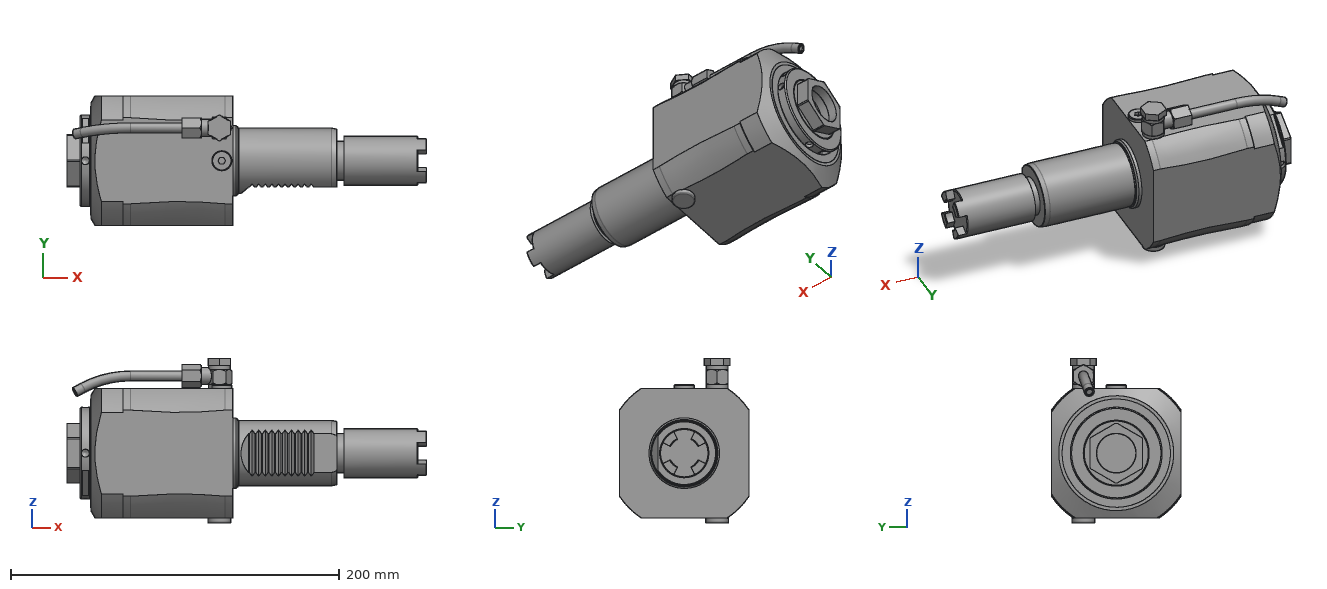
import cadquery as cq
import math


block_width = 79.0
half_block = block_width / 2
block_front_x = -86.5
face_radius = 35.0
face_lip_radius = 33.0
face_lip_height = 0.2
cone_half_angle = 61.0
corner_radius = 47.4
corner_relief = 0.75
front_relief_end_x = -66.8
barrel_start_x = -62.2
barrel_end_x = -4.7

ring_radius = 28.0
ring_front_x = -93.1
ring_chamfer = 0.8
ring_rear_chamfer = 0.5
ring_hole_count = 4
ring_hole_diameter = 4.8
ring_hole_depth = 2.5
drill_point_angle = 118.0
ring_hole_x = -89.8
ring_pocket_width = 3.6
ring_pocket_angles = (-45, 135)
ring_pocket_half_angle = 22.5
ring_pocket_flat = ring_radius * math.cos(math.radians(ring_pocket_half_angle))

flange_radius = 21.5
flange_length = 3.0
flange_chamfer = 1.0
undercut_length = 0.9
undercut_depth = 0.3
shank_radius = 20.0
shank_end_x = 63.3
shank_taper_length = 3.3
shank_taper_drop = 0.6
shank_edge_chamfer = 0.3
flat_offset = 16.1
flat_ramp_start_x = 5.0
flat_ramp_end_x = 9.6
tooth_pitch = 4.0
tooth_count = 10
first_groove_x = 11.75
groove_half_width = 1.65
groove_depth = 1.8

fitting_x = -8.2
fitting_y = 20.0
bolt_top_z = 57.75
bolt_head_height = 4.5
bolt_head_flats = 13.8
bolt_neck_radius = 6.7
eye_bottom_z = 41.8
eye_top_z = 50.8
eye_corner_radius = 7.8
eye_chamfer = 0.9
pipe_z = 47.0
stub_radius = 5.2
nut_flats = 12.2
nut_rear_x = -19.2
nut_front_x = -31.1
nut_chamfer = 0.8

pipe_radius = 3.05
bend_start_x = -62.4
bend_radius = 58.0
bend_angle = 30.0
bend_tilt = 20.5
tip_length = 5.7
tip_chamfer = 0.4
tip_bore_radius = 2.0
tip_bore_depth = 1.0

top_plug_x = -6.7
top_plug_radius = 6.1
top_plug_height = 2.2
top_plug_chamfer = 0.5
socket_flats = 4.0
socket_depth = 2.0
bottom_plug_radius = 6.95
bottom_plug_height = 3.15
bottom_plug_fillet = 0.6

spindle_front_x = -101.05
spindle_length = 219.05
spindle_end_x = spindle_front_x + spindle_length
hex_flats = 32.0
hex_corner_radius = 18.2
collar_radius = 19.5
collar_gap = 0.6
collar_rear_x = -78.0
nose_bore_radius = 12.1
nose_bore_depth = 5.5
nose_bore_end_radius = 11.9
nose_bore_end_depth = 10.8
core_radius = 12.0
drive_start_x = 67.6
drive_radius = 15.0
drive_shoulder_x = 112.8
drive_chamfer = 0.6
claw_count = 4
claw_gap_half_angle = 26.0
claw_bore_radius = 9.3
claw_chamfer = 0.5


def rod(x_start, x_end, radius):
    """Cylinder along the spindle axis."""
    return cq.Workplane("YZ", origin=(x_start, 0, 0)).circle(radius).extrude(x_end - x_start)


def hexagon_diameter(across_flats):
    """Corner-to-corner size of a hexagon."""
    return across_flats / math.cos(math.radians(30))


def upright_cylinder(x, y, z_start, z_end, radius):
    return cq.Workplane("XY", origin=(x, y, z_start)).circle(radius).extrude(z_end - z_start)


def make_block():
    """Square block whose corners and front cone are turned about the axis."""
    relief_radius = corner_radius - corner_relief
    cone_end_x = block_front_x + (relief_radius - face_radius) / math.tan(math.radians(cone_half_angle))
    barrel_middle_x = (barrel_start_x + barrel_end_x) / 2
    turned = (
        cq.Workplane("XY")
        .moveTo(0, 0)
        .lineTo(block_front_x, 0)
        .lineTo(block_front_x, face_radius)
        .lineTo(cone_end_x, relief_radius)
        .lineTo(front_relief_end_x, relief_radius)
        .lineTo(front_relief_end_x, corner_radius)
        .lineTo(barrel_start_x, corner_radius)
        .threePointArc((barrel_middle_x, relief_radius), (barrel_end_x, corner_radius))
        .lineTo(0, corner_radius)
        .close()
        .revolve(360, (0, 0, 0), (1, 0, 0))
    )
    square = cq.Workplane("YZ", origin=(block_front_x, 0, 0)).rect(block_width, block_width)
    block = turned.intersect(square.extrude(-block_front_x))
    return block.union(rod(block_front_x - face_lip_height, block_front_x, face_lip_radius))


def make_ring():
    """Front ring with four radial spanner holes and two flat-bottomed pockets."""
    ring = rod(ring_front_x, block_front_x - face_lip_height, ring_radius)
    ring = ring.faces("<X").chamfer(ring_chamfer).faces(">X").chamfer(ring_rear_chamfer)
    hole_radius = ring_hole_diameter / 2
    hole_base_z = ring_radius - ring_hole_depth
    drill_tip_z = hole_base_z - hole_radius * math.tan(math.radians(90 - drill_point_angle / 2))
    hole = (
        cq.Workplane("XZ")
        .moveTo(0, drill_tip_z)
        .lineTo(hole_radius, hole_base_z)
        .lineTo(hole_radius, ring_radius)
        .lineTo(0, ring_radius)
        .close()
        .revolve(360, (0, 0, 0), (0, 1, 0))
        .translate((ring_hole_x, 0, 0))
    )
    for index in range(ring_hole_count):
        ring = ring.cut(hole.rotate((0, 0, 0), (1, 0, 0), 360 / ring_hole_count * index))
    pocket = (
        cq.Workplane("XY", origin=(ring_hole_x, 0, ring_pocket_flat))
        .rect(ring_pocket_width, 2 * ring_radius)
        .extrude(ring_radius)
    )
    for angle in ring_pocket_angles:
        ring = ring.cut(pocket.rotate((0, 0, 0), (1, 0, 0), angle))
    return ring


def make_shank():
    """Round shank with a flange, a tapered end and a toothed clamping flat on the -Y side."""
    taper_radius = shank_radius - shank_taper_drop
    undercut_end_x = flange_length + undercut_length
    shank = (
        cq.Workplane("XY")
        .moveTo(0, 0)
        .lineTo(0, flange_radius)
        .lineTo(flange_length - flange_chamfer, flange_radius)
        .lineTo(flange_length, flange_radius - flange_chamfer)
        .lineTo(flange_length, shank_radius - undercut_depth)
        .lineTo(undercut_end_x, shank_radius - undercut_depth)
        .lineTo(undercut_end_x, shank_radius)
        .lineTo(shank_end_x - shank_taper_length, shank_radius)
        .lineTo(shank_end_x - shank_edge_chamfer, taper_radius)
        .lineTo(shank_end_x, taper_radius - shank_edge_chamfer)
        .lineTo(shank_end_x, 0)
        .close()
        .revolve(360, (0, 0, 0), (1, 0, 0))
    )
    flat = (
        cq.Workplane("XY")
        .moveTo(flat_ramp_start_x, -shank_radius)
        .lineTo(flat_ramp_end_x, -flat_offset)
        .lineTo(shank_end_x, -flat_offset)
        .lineTo(shank_end_x, -shank_radius)
        .close()
        .extrude(shank_radius, both=True)
    )
    shank = shank.cut(flat)
    for tooth in range(tooth_count):
        groove_x = first_groove_x + tooth * tooth_pitch
        groove = (
            cq.Workplane("XY")
            .moveTo(groove_x - groove_half_width, -flat_offset)
            .lineTo(groove_x, -flat_offset + groove_depth)
            .lineTo(groove_x + groove_half_width, -flat_offset)
            .close()
            .extrude(shank_radius, both=True)
        )
        shank = shank.cut(groove)
    return shank


def make_fitting():
    """Banjo bolt and eye standing on the block, with the pipe nut on its side."""
    head_bottom_z = bolt_top_z - bolt_head_height
    neck = upright_cylinder(fitting_x, fitting_y, half_block, head_bottom_z, bolt_neck_radius)
    head = (
        cq.Workplane("XY", origin=(fitting_x, fitting_y, head_bottom_z))
        .transformed(rotate=(0, 0, 90))
        .polygon(6, hexagon_diameter(bolt_head_flats))
        .extrude(bolt_head_height)
    )
    eye = (
        cq.Workplane("XY", origin=(fitting_x, fitting_y, eye_bottom_z))
        .polygon(6, 2 * eye_corner_radius)
        .extrude(eye_top_z - eye_bottom_z)
    )
    eye_round = upright_cylinder(fitting_x, fitting_y, eye_bottom_z, eye_top_z, eye_corner_radius)
    eye = eye.intersect(eye_round.faces("<Z or >Z").chamfer(eye_chamfer))
    stub = rod(nut_rear_x, fitting_x, stub_radius).translate((0, fitting_y, pipe_z))
    nut_length = nut_rear_x - nut_front_x
    nut = (
        cq.Workplane("YZ", origin=(nut_front_x, fitting_y, pipe_z))
        .transformed(rotate=(0, 0, 90))
        .polygon(6, hexagon_diameter(nut_flats))
        .extrude(nut_length)
    )
    nut_round = rod(nut_front_x, nut_rear_x, hexagon_diameter(nut_flats) / 2)
    nut = nut.intersect(nut_round.faces(">X").chamfer(nut_chamfer).translate((0, fitting_y, pipe_z)))
    return neck.union(head).union(eye).union(stub).union(nut)


def make_pipe():
    """Straight pipe, downward bend and straight tip, leaning about its own axis."""
    angle = math.radians(bend_angle)
    half_angle = angle / 2
    bend_end = (bend_start_x - bend_radius * math.sin(angle), -bend_radius * (1 - math.cos(angle)))
    bend_middle = (
        bend_start_x - bend_radius * math.sin(half_angle),
        -bend_radius * (1 - math.cos(half_angle)),
    )
    tip_direction = cq.Vector(-math.cos(angle), 0, -math.sin(angle))
    path = (
        cq.Workplane("XZ")
        .moveTo(nut_front_x, 0)
        .lineTo(bend_start_x, 0)
        .threePointArc(bend_middle, bend_end)
    )
    pipe = cq.Workplane("YZ", origin=(nut_front_x, 0, 0)).circle(pipe_radius).sweep(path)
    tip_plane = cq.Plane(origin=(bend_end[0], 0, bend_end[1]), xDir=(0, 1, 0), normal=tip_direction)
    tip = cq.Workplane(tip_plane).circle(pipe_radius).extrude(tip_length)
    tip = tip.faces("<X").chamfer(tip_chamfer)
    bore = (
        cq.Workplane(tip_plane)
        .workplane(offset=tip_length - tip_bore_depth)
        .circle(tip_bore_radius)
        .extrude(tip_bore_depth)
    )
    pipe = pipe.union(tip.cut(bore))
    return pipe.rotate((0, 0, 0), (1, 0, 0), -bend_tilt).translate((0, fitting_y, pipe_z))


def make_top_plug():
    plug_top_z = half_block + top_plug_height
    plug = upright_cylinder(top_plug_x, 0, half_block, plug_top_z, top_plug_radius)
    plug = plug.faces(">Z").chamfer(top_plug_chamfer)
    socket = (
        cq.Workplane("XY", origin=(top_plug_x, 0, plug_top_z - socket_depth))
        .polygon(6, hexagon_diameter(socket_flats))
        .extrude(socket_depth)
    )
    return plug.cut(socket)


def make_bottom_plug():
    plug = upright_cylinder(
        fitting_x, fitting_y, -half_block - bottom_plug_height, -half_block, bottom_plug_radius
    )
    return plug.faces("<Z").fillet(bottom_plug_fillet)


def make_housing():
    """Housing with shank and fittings, bored through for the spindle."""
    housing = make_block().union(make_ring()).union(make_shank())
    for part in (make_fitting(), make_pipe(), make_top_plug(), make_bottom_plug()):
        housing = housing.union(part)
    front_bore = rod(ring_front_x, collar_rear_x, collar_radius + collar_gap)
    through_bore = rod(collar_rear_x, shank_end_x, core_radius)
    return housing.cut(front_bore).cut(through_bore)


def make_claws():
    """Ring of claws left between radial gaps centred on the Y and Z directions."""
    claws = rod(drive_shoulder_x - drive_chamfer, spindle_end_x, drive_radius)
    claws = claws.cut(rod(drive_shoulder_x, spindle_end_x, claw_bore_radius))
    claws = claws.faces(">X").chamfer(claw_chamfer)
    gap_reach = 2 * drive_radius
    gap_half_width = gap_reach * math.tan(math.radians(claw_gap_half_angle))
    gap = (
        cq.Workplane("YZ", origin=(drive_shoulder_x - drive_chamfer, 0, 0))
        .polyline([(0, 0), (gap_reach, -gap_half_width), (gap_reach, gap_half_width)])
        .close()
        .extrude(spindle_end_x - drive_shoulder_x + drive_chamfer)
    )
    for index in range(claw_count):
        claws = claws.cut(gap.rotate((0, 0, 0), (1, 0, 0), 360 / claw_count * index))
    return claws


def make_spindle():
    """Spindle with a hexagon nose in front and a clawed drive coupling at the rear."""
    nose = (
        cq.Workplane("YZ", origin=(spindle_front_x, 0, 0))
        .transformed(rotate=(0, 0, 90))
        .polygon(6, hexagon_diameter(hex_flats))
        .extrude(ring_front_x - spindle_front_x)
    )
    nose = nose.intersect(rod(spindle_front_x, ring_front_x, hex_corner_radius))
    spindle = nose.union(rod(ring_front_x, collar_rear_x, collar_radius))
    spindle = spindle.cut(rod(spindle_front_x, spindle_front_x + nose_bore_depth, nose_bore_radius))
    spindle = spindle.cut(rod(spindle_front_x, spindle_front_x + nose_bore_end_depth, nose_bore_end_radius))
    spindle = spindle.union(rod(collar_rear_x, drive_start_x, core_radius))
    drive = rod(drive_start_x, drive_shoulder_x, drive_radius).faces(">X").chamfer(drive_chamfer)
    return spindle.union(drive).union(make_claws())


housing = make_housing()
spindle = make_spindle()

result = cq.Compound.makeCompound([housing.val(), spindle.val()])